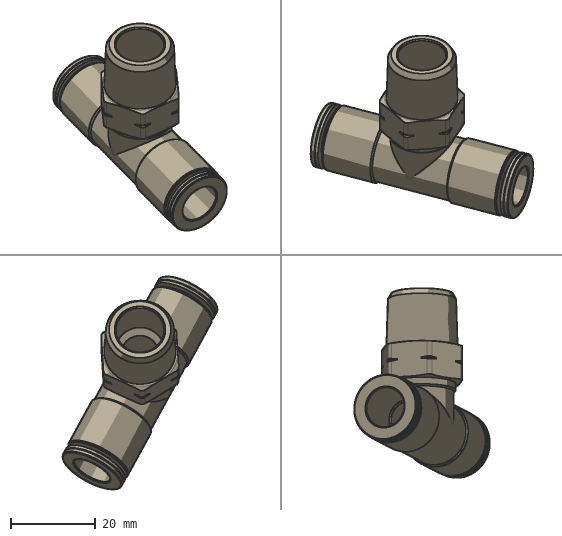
import cadquery as cq
import math

overall_length = 51.0
body_diameter = 15.2
body_bore = 8.5
body_radius = body_diameter / 2

sleeve_diameter = 16.0
sleeve_inner_x = 9.6
sleeve_outer_x = 22.6
sleeve_inner_chamfer = (sleeve_diameter - body_diameter) / 2
sleeve_lip_diameter = 15.6
sleeve_lip_width = 0.15
sleeve_outer_cone_length = 0.3

collet_diameter = 15.8
collet_thickness = 2.0
collet_edge_chamfer = 0.2
collet_neck_diameter = 11.52
collet_groove_diameter = 15.6
collet_groove_width = 0.15
collet_groove_offset = 1.07

socket_diameter = 9.52
socket_mouth_diameter = 10.0
socket_depth = 15.8

branch_top = 32.0
collar_diameter = 16.0
collar_bottom = 8.7
collar_chamfer = (collar_diameter - body_diameter) / 2

hex_bottom = 10.3
hex_top = 19.0
hex_across_flats = 17.9
hex_across_corners = 20.31
hex_top_face_diameter = 17.9
hex_bottom_face_diameter = 16.4
hex_crown_angle = 12.0
hex_groove_z = 14.75
hex_groove_width = 0.68
hex_groove_root_diameter = 18.9
hex_groove_root_width = 0.2

thread_base_diameter = 17.02
thread_taper = 1 / 16
thread_tip_length = 1.4
thread_tip_diameter = 14.65

mouth_bore = 11.43
mouth_bore_chamfer = 0.33
mouth_bore_bottom = 20.0
bore_cone_bottom = mouth_bore_bottom - (mouth_bore - body_bore) / 2


def revolve_about_z(points):
    """Turn a closed (radius, z) outline about the Z axis."""
    return cq.Workplane("XZ").polyline(points).close().revolve(360, (0, 0), (0, 1))


def revolve_about_x(points):
    """Turn a closed (x, radius) outline about the X axis."""
    return cq.Workplane("XZ").polyline(points).close().revolve(360, (0, 0), (1, 0))


def mirror_outline(half_outline):
    """Complete an (x, radius) outline with its mirror image about X = 0."""
    mirrored_half = [(-x, radius) for x, radius in reversed(half_outline)]
    return mirrored_half + half_outline


def make_run():
    """Run symmetric about X = 0: body with a sleeve and a collet at each end."""
    end_x = overall_length / 2
    sleeve_radius = sleeve_diameter / 2
    sleeve_full_x = sleeve_inner_x + sleeve_inner_chamfer
    lip_radius = sleeve_lip_diameter / 2
    lip_inner_x = sleeve_outer_x - sleeve_lip_width
    neck_radius = collet_neck_diameter / 2
    flange_radius = collet_diameter / 2
    groove_radius = collet_groove_diameter / 2
    flange_inner_x = end_x - collet_thickness
    groove_outer_x = end_x - collet_groove_offset
    groove_inner_x = groove_outer_x - collet_groove_width
    half_outline = [
        (sleeve_inner_x, body_radius),
        (sleeve_full_x, sleeve_radius),
        (lip_inner_x - sleeve_outer_cone_length, sleeve_radius),
        (lip_inner_x, lip_radius),
        (sleeve_outer_x, lip_radius),
        (sleeve_outer_x, neck_radius),
        (flange_inner_x, neck_radius),
        (flange_inner_x, flange_radius),
        (groove_inner_x, flange_radius),
        (groove_inner_x, groove_radius),
        (groove_outer_x, groove_radius),
        (groove_outer_x, flange_radius),
        (end_x - collet_edge_chamfer, flange_radius),
        (end_x, flange_radius - collet_edge_chamfer),
        (end_x, 0),
    ]
    return revolve_about_x(mirror_outline(half_outline))


def make_run_bore():
    """Cutter for the bore through the run, with a chamfered tube socket at each end."""
    end_x = overall_length / 2
    socket_radius = socket_diameter / 2
    mouth_radius = socket_mouth_diameter / 2
    half_outline = [
        (end_x - socket_depth, body_bore / 2),
        (end_x - socket_depth, socket_radius),
        (end_x - (mouth_radius - socket_radius), socket_radius),
        (end_x, mouth_radius),
        (end_x, 0),
    ]
    return revolve_about_x(mirror_outline(half_outline))


def make_stem():
    """Branch stem with its collar below the hexagon and the tapered thread above it."""
    collar_radius = collar_diameter / 2
    thread_end = branch_top - thread_tip_length
    thread_end_diameter = thread_base_diameter - thread_taper * (thread_end - hex_top)
    return revolve_about_z([
        (0, 0),
        (body_radius, 0),
        (body_radius, collar_bottom - collar_chamfer),
        (collar_radius, collar_bottom),
        (collar_radius, hex_top),
        (thread_base_diameter / 2, hex_top),
        (thread_end_diameter / 2, thread_end),
        (thread_tip_diameter / 2, branch_top),
        (0, branch_top),
    ])


def make_hexagon():
    """Hexagon with rounded corners, crowned ends and a tapered groove across its corners."""
    flat_to_corner = 1 / math.cos(math.radians(30))
    sharp_corner_diameter = hex_across_flats * flat_to_corner
    corner_cut = (sharp_corner_diameter - hex_across_corners) / 2
    corner_radius = corner_cut / (flat_to_corner - 1)
    prism = (
        cq.Workplane("XY")
        .workplane(offset=hex_bottom)
        .polygon(6, sharp_corner_diameter)
        .extrude(hex_top - hex_bottom)
        .edges("|Z")
        .fillet(corner_radius)
        .rotate((0, 0, 0), (0, 0, 1), 30)
    )
    outer_radius = hex_across_corners / 2
    top_radius = hex_top_face_diameter / 2
    bottom_radius = hex_bottom_face_diameter / 2
    crown_slope = math.tan(math.radians(hex_crown_angle))
    groove_half = hex_groove_width / 2
    root_radius = hex_groove_root_diameter / 2
    root_half = hex_groove_root_width / 2
    envelope = revolve_about_z([
        (0, hex_bottom),
        (bottom_radius, hex_bottom),
        (outer_radius, hex_bottom + crown_slope * (outer_radius - bottom_radius)),
        (outer_radius, hex_groove_z - groove_half),
        (root_radius, hex_groove_z - root_half),
        (root_radius, hex_groove_z + root_half),
        (outer_radius, hex_groove_z + groove_half),
        (outer_radius, hex_top - crown_slope * (outer_radius - top_radius)),
        (top_radius, hex_top),
        (0, hex_top),
    ])
    return prism.intersect(envelope)


def make_branch_bore():
    """Cutter for the branch bore, down to the axis of the run."""
    mouth_radius = mouth_bore / 2
    return revolve_about_z([
        (0, 0),
        (body_bore / 2, 0),
        (body_bore / 2, bore_cone_bottom),
        (mouth_radius, mouth_bore_bottom),
        (mouth_radius, branch_top - mouth_bore_chamfer),
        (mouth_radius + mouth_bore_chamfer, branch_top),
        (0, branch_top),
    ])


result = make_run().union(make_stem()).union(make_hexagon())
result = result.cut(make_run_bore()).cut(make_branch_bore())